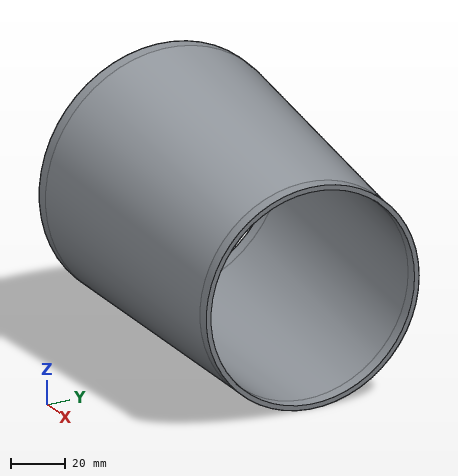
import cadquery as cq

length = 120.0
collar_length = 5.0
large_outer_diameter = 101.6
large_inner_diameter = 97.5
small_outer_diameter = 89.0
small_inner_diameter = 85.1

large_wall = (large_outer_diameter - large_inner_diameter) / 2
small_wall = (small_outer_diameter - small_inner_diameter) / 2
taper_length = length - 2 * collar_length


def circle_at(x, diameter, bottom):
    """Circle across the X axis whose lowest point is at height bottom."""
    center = (x, 0, bottom + diameter / 2)
    return cq.Workplane("YZ", origin=center).circle(diameter / 2)


def reducer_body(large_diameter, small_diameter, large_bottom, small_bottom):
    """Solid large collar, eccentric taper and small collar in one piece."""
    large_collar = circle_at(0, large_diameter, large_bottom).extrude(collar_length)
    small_start = collar_length + taper_length
    small_collar = circle_at(small_start, small_diameter, small_bottom).extrude(collar_length)
    taper_start = circle_at(collar_length, large_diameter, large_bottom).val()
    taper_end = circle_at(small_start, small_diameter, small_bottom).val()
    taper = cq.Solid.makeLoft(
        [taper_start, taper_end],
        True,
    )
    return large_collar.union(cq.Workplane(taper)).union(small_collar)


outside = reducer_body(large_outer_diameter, small_outer_diameter, 0, 0)
bore = reducer_body(large_inner_diameter, small_inner_diameter, large_wall, small_wall)

result = outside.cut(bore).translate((-length / 2, 0, -large_outer_diameter / 2))